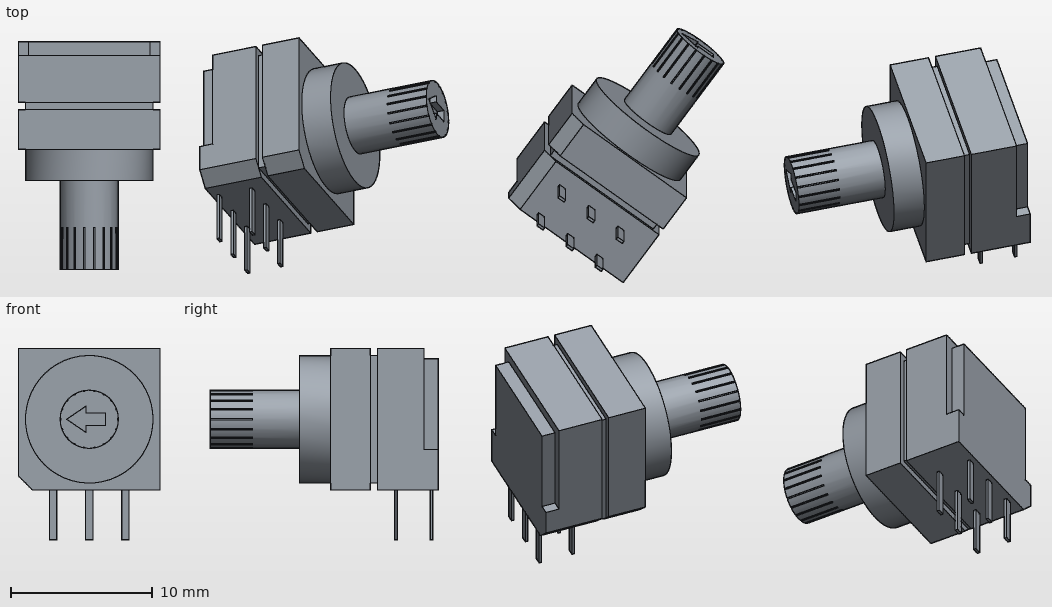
import cadquery as cq


BODY_SIZE = 10.0
BODY_HALF = BODY_SIZE / 2
CORNER_CHAMFER = 1.0
NECK_SIZE = 9.0

REAR_BLOCK_FRONT = 4.3
FRONT_BLOCK_BACK = 4.8
FRONT_BLOCK_FRONT = 7.6
HUB_FRONT = 9.8
SHAFT_TIP = 16.1

STEP_DEPTH = 1.0
STEP_INSET = 0.72
FOOT_HEIGHT = 2.87

HUB_DIAMETER = 9.0
SHAFT_DIAMETER = 4.1

GROOVE_COUNT = 18
GROOVE_LENGTH = 3.0
GROOVE_WIDTH = 0.1
GROOVE_DEPTH = 0.05

ARROW_TIP_X = -1.6
ARROW_NECK_X = -0.23
ARROW_TAIL_X = 1.16
ARROW_HEAD_HALF = 0.93
ARROW_STEM_HALF = 0.45
ARROW_DEPTH = 0.5

PIN_WIDTH = 0.53
PIN_THICKNESS = 0.2
PIN_LENGTH = 3.51
PIN_PITCH_X = 2.55
PIN_COLUMNS = (-PIN_PITCH_X, 0, PIN_PITCH_X)
REAR_PIN_ROW = 0.48
PIN_ROW_SPACING = 2.51
PIN_ROWS = (REAR_PIN_ROW, REAR_PIN_ROW + PIN_ROW_SPACING)


def plane_at(distance):
    """XZ sketch plane at a distance in front of the back face; it extrudes to -Y."""
    return cq.Workplane("XZ", origin=(0, -distance, 0))


def block(start, end):
    """Square housing block with its lower -X corner cut off."""
    return (
        plane_at(start)
        .rect(BODY_SIZE, BODY_SIZE)
        .extrude(end - start)
        .edges("|Y and <X and <Z")
        .chamfer(CORNER_CHAMFER)
    )


def back_step():
    """Material removed beside and above the raised pad on the back face."""
    foot_top = FOOT_HEIGHT - BODY_HALF
    pad_width = BODY_SIZE - 2 * STEP_INSET
    pad_height = BODY_HALF - STEP_INSET - foot_top
    above_foot = (
        plane_at(0)
        .center(0, (foot_top + BODY_HALF) / 2)
        .rect(BODY_SIZE, BODY_HALF - foot_top)
        .extrude(STEP_DEPTH)
    )
    pad = (
        plane_at(0)
        .center(0, foot_top + pad_height / 2)
        .rect(pad_width, pad_height)
        .extrude(STEP_DEPTH)
    )
    return above_foot.cut(pad)


def housing():
    neck = (
        plane_at(REAR_BLOCK_FRONT)
        .rect(NECK_SIZE, NECK_SIZE)
        .extrude(FRONT_BLOCK_BACK - REAR_BLOCK_FRONT)
    )
    rear_block = block(0, REAR_BLOCK_FRONT).cut(back_step())
    return rear_block.union(neck).union(block(FRONT_BLOCK_BACK, FRONT_BLOCK_FRONT))


def hub():
    return plane_at(FRONT_BLOCK_FRONT).circle(HUB_DIAMETER / 2).extrude(HUB_FRONT - FRONT_BLOCK_FRONT)


def knurl_grooves():
    """Grooves evenly spaced around the shaft, open at its tip."""
    return (
        plane_at(SHAFT_TIP - GROOVE_LENGTH)
        .polarArray(SHAFT_DIAMETER / 2, 0, 360, GROOVE_COUNT)
        .rect(2 * GROOVE_DEPTH, GROOVE_WIDTH)
        .extrude(GROOVE_LENGTH)
    )


def pointer_arrow():
    return (
        plane_at(SHAFT_TIP - ARROW_DEPTH)
        .polyline(
            [
                (ARROW_TIP_X, 0),
                (ARROW_NECK_X, ARROW_HEAD_HALF),
                (ARROW_NECK_X, ARROW_STEM_HALF),
                (ARROW_TAIL_X, ARROW_STEM_HALF),
                (ARROW_TAIL_X, -ARROW_STEM_HALF),
                (ARROW_NECK_X, -ARROW_STEM_HALF),
                (ARROW_NECK_X, -ARROW_HEAD_HALF),
            ]
        )
        .close()
        .extrude(ARROW_DEPTH)
    )


def shaft():
    bar = plane_at(HUB_FRONT).circle(SHAFT_DIAMETER / 2).extrude(SHAFT_TIP - HUB_FRONT)
    return bar.cut(knurl_grooves()).cut(pointer_arrow())


def pins():
    """Grid of flat pins hanging from the underside of the housing."""
    centres = [(x, -row) for x in PIN_COLUMNS for row in PIN_ROWS]
    return (
        cq.Workplane("XY", origin=(0, 0, -BODY_HALF))
        .pushPoints(centres)
        .rect(PIN_WIDTH, PIN_THICKNESS)
        .extrude(-PIN_LENGTH)
    )


result = housing().union(hub()).union(shaft()).union(pins())